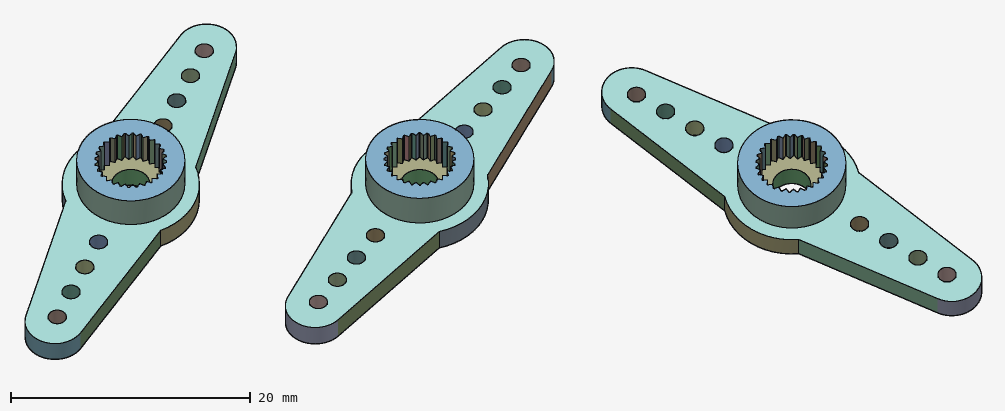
import cadquery as cq
import math

overall_length = 37.98
plate_thickness = 2.0
disc_radius = 5.75
tip_radius = 2.5
arm_root_half_width = 4.3

hub_radius = 4.52
hub_height = 3.0
screw_hole_radius = 1.6

tooth_count = 28
spline_outer_radius = 3.0
spline_inner_radius = 2.7
groove_flat_width = 0.103

link_hole_count = 4
link_hole_radius = 0.75
link_hole_pitch = 3.0
first_link_hole_offset = 7.0


def make_arm(direction):
    """Tapered arm pointing along +Y or -Y, with sides tangent to its round tip."""
    tip_center = overall_length / 2 - tip_radius
    root_y = math.sqrt(disc_radius**2 - arm_root_half_width**2)

    run_y = tip_center - root_y
    root_to_center = math.hypot(arm_root_half_width, run_y)
    root_bearing = math.atan2(-run_y, arm_root_half_width)
    tangent_angle = root_bearing + math.acos(tip_radius / root_to_center)
    tangent_x = tip_radius * math.cos(tangent_angle)
    tangent_y = tip_center + tip_radius * math.sin(tangent_angle)

    return (
        cq.Workplane("XY")
        .moveTo(-arm_root_half_width, 0)
        .lineTo(arm_root_half_width, 0)
        .lineTo(arm_root_half_width, direction * root_y)
        .lineTo(tangent_x, direction * tangent_y)
        .threePointArc((0, direction * overall_length / 2), (-tangent_x, direction * tangent_y))
        .lineTo(-arm_root_half_width, direction * root_y)
        .close()
        .extrude(plate_thickness)
    )


def polar_point(radius, angle):
    return (radius * math.cos(angle), radius * math.sin(angle))


def make_spline_socket():
    """Cutter for the socket, with a tooth crest on each of the X and Y axes."""
    pitch = 2 * math.pi / tooth_count
    half_flat = groove_flat_width / 2 / spline_outer_radius
    points = []
    for tooth in range(tooth_count):
        crest_angle = tooth * pitch
        groove_angle = crest_angle + pitch / 2
        points.append(polar_point(spline_inner_radius, crest_angle))
        points.append(polar_point(spline_outer_radius, groove_angle - half_flat))
        points.append(polar_point(spline_outer_radius, groove_angle + half_flat))
    return (
        cq.Workplane("XY")
        .workplane(offset=plate_thickness)
        .polyline(points)
        .close()
        .extrude(hub_height)
    )


def make_link_holes():
    """Cutters for the row of linkage holes through both arms."""
    offsets = [first_link_hole_offset + i * link_hole_pitch for i in range(link_hole_count)]
    centers = [(0, side * offset) for side in (1, -1) for offset in offsets]
    return cq.Workplane("XY").pushPoints(centers).circle(link_hole_radius).extrude(plate_thickness)


disc = cq.Workplane("XY").circle(disc_radius).extrude(plate_thickness)
hub = cq.Workplane("XY").circle(hub_radius).extrude(plate_thickness + hub_height)
screw_hole = cq.Workplane("XY").circle(screw_hole_radius).extrude(plate_thickness)

body = disc.union(make_arm(1)).union(make_arm(-1)).union(hub)
result = body.cut(make_spline_socket()).cut(screw_hole).cut(make_link_holes())